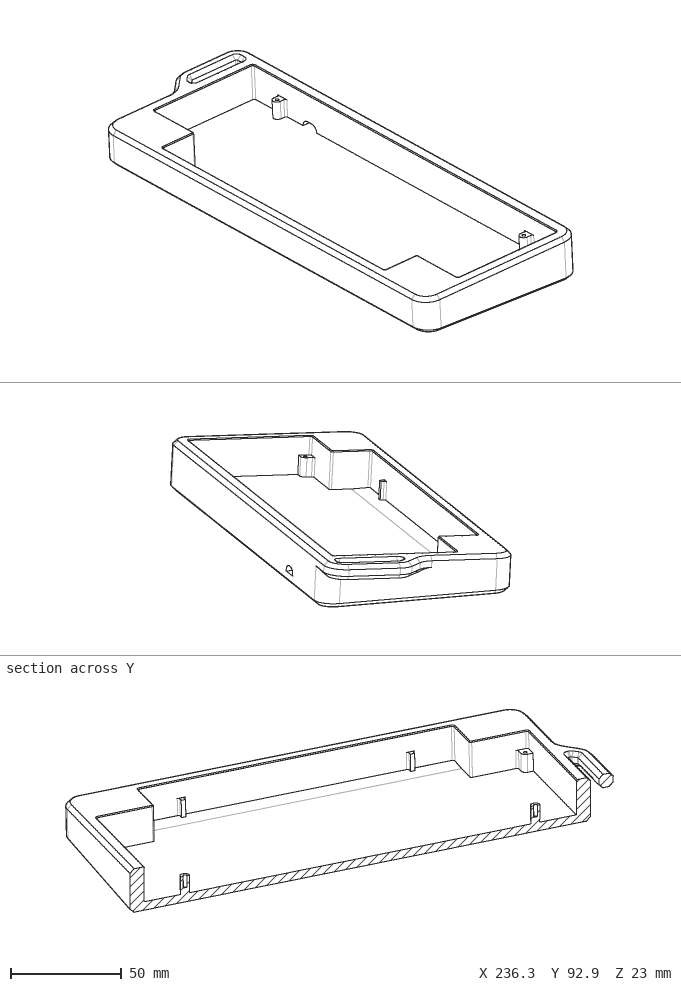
import cadquery as cq
import math

tilt = 3.0
total_x = 236.3
tab_reach = 11.0
case_y = 92.0
back_height = 23.0
edge_chamfer = 2.0
corner_radius = 9.0

rim_thickness = 7.0
tab_length = 37.0
slot_width = 4.0
slot_inset = 7.0
slot_back_inset = 7.5
slot_length = 28.8
slot_corner_cut = 2.4
slot_corner_radius = 0.7

cavity_depth = 18.0
base_thickness = 1.09
side_wall = 7.0
cavity_back_wall = 7.3
cavity_step_y = 25.8
well_width = 154.3
well_y_min = 6.5
cavity_radius = 1.0
cavity_rim_chamfer = 0.5

post_radius = 2.25
post_height = 9.0
post_hole_diameter = 1.6
post_hole_depth = 6.0
post_setback = 3.0
back_post_spacing = 171.3
corner_post_setback_x = 2.8
corner_post_setback_y = 3.5
front_rib_spacing = 112.0
front_rib_width = 2.1
front_rib_reach = 2.4
wall_fillet = 1.0

web_overlap = 0.35

cable_x_min = 52.0
cable_width = 9.5
cable_corner_diameter = 6.5

clearance = 1.2

case_x_min = tab_reach
case_x_middle = (case_x_min + total_x) / 2
cavity_x_min = case_x_min + side_wall
cavity_x_max = total_x - side_wall
well_x_min = case_x_middle - well_width / 2
well_x_max = case_x_middle + well_width / 2
cavity_y_max = case_y - cavity_back_wall
floor_z = -cavity_depth
slope = math.radians(tilt)
front_height = back_height - (case_y - edge_chamfer) * math.sin(slope)


def tilted(shape):
    """Move a shape from the sloped frame (top plane at z = 0) to the upright frame."""
    return shape.rotate((0, 0, 0), (1, 0, 0), tilt).translate((0, 0, front_height))


def level_slab(z_min, z_max):
    """Level slab wider than the part, for trimming sloped shapes."""
    return (
        cq.Workplane("XY", origin=(case_x_middle, case_y / 2, z_min))
        .rect(2 * total_x, 2 * total_x)
        .extrude(z_max - z_min)
    )


def make_rim():
    """Sloped slab with the handle and its strap slot, chamfered above and below."""
    tab_y = case_y - tab_length
    rim = (
        cq.Workplane("XY")
        .polyline([
            (case_x_min, 0),
            (total_x, 0),
            (total_x, case_y),
            (0, case_y),
            (0, tab_y),
            (case_x_min, tab_y - tab_reach),
        ])
        .close()
        .extrude(-rim_thickness)
        .edges("|Z")
        .fillet(corner_radius)
    )

    slot_y_max = case_y - slot_back_inset
    slot_y_min = slot_y_max - slot_length
    slot_x_max = slot_inset + slot_width
    slot = (
        cq.Workplane("XY")
        .polyline([
            (slot_inset, slot_y_max),
            (slot_x_max, slot_y_max),
            (slot_x_max, slot_y_min),
            (slot_inset + slot_corner_cut, slot_y_min),
            (slot_inset, slot_y_min + slot_corner_cut),
        ])
        .close()
        .extrude(-rim_thickness)
        .edges("|Z")
        .fillet(slot_corner_radius)
    )
    return rim.cut(slot).faces("<Z or >Z").edges().chamfer(edge_chamfer)


def make_shell():
    """Solid case body, its sides square to the sloped top, cut off level and chamfered at the base."""
    wall_run = 1.5 * back_height
    block = (
        cq.Workplane("XY", origin=(0, 0, -rim_thickness / 2))
        .rect(total_x - case_x_min, case_y)
        .extrude(-wall_run)
        .translate((case_x_middle, case_y / 2, 0))
        .edges("|Z")
        .fillet(corner_radius)
    )
    return tilted(block).cut(level_slab(-back_height, 0)).faces("<Z").edges().chamfer(edge_chamfer)


def make_cavity():
    """T-shaped pocket with a sloped floor that turns level near the front."""
    pocket = (
        cq.Workplane("XY", origin=(0, 0, floor_z))
        .polyline([
            (cavity_x_min, cavity_y_max),
            (cavity_x_max, cavity_y_max),
            (cavity_x_max, cavity_step_y),
            (well_x_max, cavity_step_y),
            (well_x_max, well_y_min),
            (well_x_min, well_y_min),
            (well_x_min, cavity_step_y),
            (cavity_x_min, cavity_step_y),
        ])
        .close()
        .extrude(cavity_depth)
        .edges("|Z")
        .fillet(cavity_radius)
    )
    flare = (
        pocket.faces(">Z")
        .wires()
        .toPending()
        .extrude(clearance, combine=False, taper=-45)
        .translate((0, 0, -cavity_rim_chamfer))
    )
    pocket = pocket.union(flare)
    return tilted(pocket).cut(level_slab(-back_height, base_thickness))


def make_web(x, wall_y, width, reach):
    """Upright web standing out from a wall that runs along X, flared where it meets the wall.

    A negative reach points toward the front.
    """
    sign = math.copysign(1, reach)
    flare_y = sign * wall_fillet
    buried_y = -sign * web_overlap
    half = width / 2
    foot = half + wall_fillet
    return (
        cq.Workplane("XY", origin=(x, wall_y, floor_z - web_overlap))
        .moveTo(-foot, buried_y)
        .lineTo(-foot, 0)
        .radiusArc((-half, flare_y), -sign * wall_fillet)
        .lineTo(-half, reach)
        .lineTo(half, reach)
        .lineTo(half, flare_y)
        .radiusArc((foot, 0), -sign * wall_fillet)
        .lineTo(foot, buried_y)
        .close()
        .extrude(post_height + web_overlap)
    )


def make_post(x, wall_y, reach):
    """Round screw post at the end of a web."""
    post = (
        cq.Workplane("XY", origin=(x, wall_y + reach, floor_z - web_overlap))
        .circle(post_radius)
        .extrude(post_height + web_overlap)
    )
    return post.union(make_web(x, wall_y, 2 * post_radius, reach))


def make_post_hole(x, y):
    return (
        cq.Workplane("XY", origin=(x, y, floor_z + post_height))
        .circle(post_hole_diameter / 2)
        .extrude(-post_hole_depth)
    )


def make_corner_block(x, wall_x):
    """Solid filling between a corner post and the side wall."""
    length = abs(x - wall_x) + web_overlap
    width = corner_post_setback_y + post_radius
    middle_x = x + math.copysign(length / 2, wall_x - x)
    return (
        cq.Workplane("XY", origin=(middle_x, cavity_step_y + width / 2, floor_z - web_overlap))
        .rect(length, width)
        .extrude(post_height + web_overlap)
    )


def make_posts():
    """Two posts on the back wall and two in the front corners beside the well."""
    posts = cq.Workplane("XY")
    holes = cq.Workplane("XY")
    for side in (-1, 1):
        back_x = case_x_middle + side * back_post_spacing / 2
        posts = posts.union(make_post(back_x, cavity_y_max, -post_setback))
        holes = holes.union(make_post_hole(back_x, cavity_y_max - post_setback))

        wall_x = cavity_x_min if side < 0 else cavity_x_max
        corner_x = wall_x - side * corner_post_setback_x
        posts = posts.union(make_post(corner_x, cavity_step_y, corner_post_setback_y))
        posts = posts.union(make_corner_block(corner_x, wall_x))
        holes = holes.union(make_post_hole(corner_x, cavity_step_y + corner_post_setback_y))
    return posts.cut(holes)


def make_front_ribs():
    """Two small ribs on the front wall of the well."""
    ribs = cq.Workplane("XY")
    for side in (-1, 1):
        x = case_x_middle + side * front_rib_spacing / 2
        ribs = ribs.union(make_web(x, well_y_min, front_rib_width, front_rib_reach))
    return ribs


def make_cable_opening():
    """Flat-bottomed opening level with the cavity floor, with a rounded top."""
    radius = cable_corner_diameter / 2
    return (
        cq.Workplane("XZ", origin=(cable_x_min, case_y + clearance, floor_z))
        .lineTo(cable_width, 0)
        .radiusArc((cable_width - radius, radius), -radius)
        .lineTo(radius, radius)
        .radiusArc((0, 0), -radius)
        .close()
        .extrude(cavity_back_wall + 2 * clearance)
    )


result = (
    tilted(make_rim())
    .union(make_shell())
    .cut(make_cavity())
    .union(tilted(make_posts()))
    .union(tilted(make_front_ribs()))
    .cut(tilted(make_cable_opening()))
)